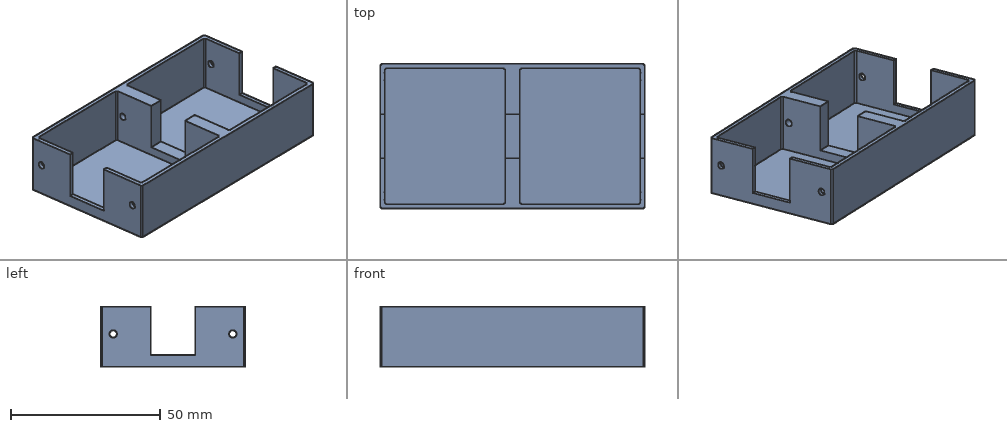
import cadquery as cq

length = 88.5
width = 48.5
height = 20.1

wall = 1.5
divider = 5.0
floor = 1.0
corner_chamfer = 0.5

notch_width = 14.9
notch_bottom = 4.0

hole_diameter = 2.4
hole_spacing = 40.0
hole_height = 11.0

pocket_length = (length - 2 * wall - divider) / 2
pocket_width = width - 2 * wall
pocket_offset = (pocket_length + divider) / 2


def upright_block(size_x, size_y, bottom):
    """Centred block from the given level to the top of the box."""
    block_height = height - bottom
    return cq.Workplane("XY").workplane(offset=bottom).rect(size_x, size_y).extrude(block_height)


result = upright_block(length, width, 0).edges("|Z").chamfer(corner_chamfer)

pocket = upright_block(pocket_length, pocket_width, floor).edges("|Z").chamfer(corner_chamfer)
for side in (-1, 1):
    result = result.cut(pocket.translate((side * pocket_offset, 0, 0)))

result = result.cut(upright_block(length, notch_width, notch_bottom))

pin_holes = (
    cq.Workplane("YZ", origin=(-length / 2, 0, 0))
    .pushPoints([(-hole_spacing / 2, hole_height), (hole_spacing / 2, hole_height)])
    .circle(hole_diameter / 2)
    .extrude(length)
)
result = result.cut(pin_holes)